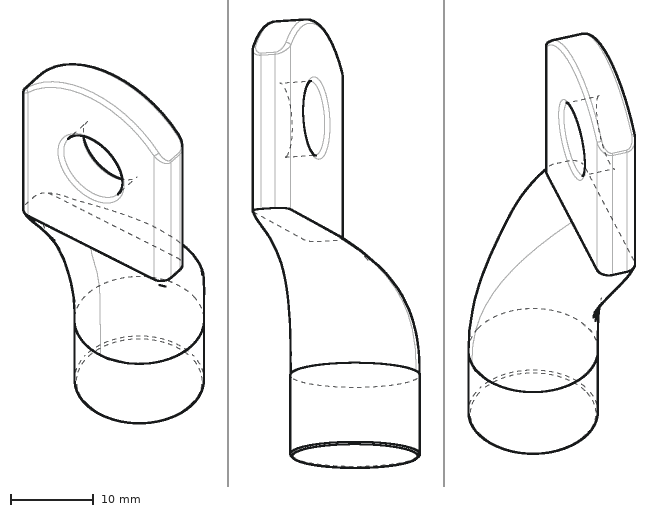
import math
import cadquery as cq


barrel_radius = 15.7 / 2
barrel_height = 10.0
barrel_chamfer = 0.25

palm_width = 22.0
palm_thickness = 4.8
palm_bottom = 29.0
palm_top = 54.0
palm_top_radius = 13.2
palm_side_fillet = 1.5
palm_top_fillet = 0.5
palm_offset = 1.9

palm_half_width = palm_width / 2
palm_front = -barrel_radius - palm_offset
palm_back = palm_front + palm_thickness
palm_middle = (palm_front + palm_back) / 2

hole_diameter = 9.0
hole_fillet = 0.5
hole_height = 42.0

neck_sections = 9
neck_inset = 0.01
back_end_slope = 2.65
width_exponent = 1.15
front_exponent = 3.0
squareness_exponent = 4.0
points_per_flat = 6
points_per_corner = 6
points_per_edge = 3


def mix(start, end, share):
    return start + (end - start) * share


def ease(t):
    """Rise from 0 to 1, level at both ends."""
    return t * t * (3 - 2 * t)


def ease_to_slope(t, end_slope):
    """Rise from 0 to 1, level at the start and with the given slope at the end."""
    return ease(t) + end_slope * t * t * (t - 1)


def palm_outline():
    """Right half of the palm section about its centre, from mid back to mid front."""
    corner_x = palm_half_width - palm_side_fillet
    corner_y = palm_thickness / 2 - palm_side_fillet
    points = [(corner_x * i / points_per_flat, palm_thickness / 2) for i in range(points_per_flat)]
    for i in range(points_per_corner):
        angle = math.pi / 2 * (1 - i / points_per_corner)
        x = corner_x + palm_side_fillet * math.cos(angle)
        points.append((x, corner_y + palm_side_fillet * math.sin(angle)))
    for i in range(points_per_edge + 1):
        points.append((palm_half_width, mix(corner_y, -corner_y, i / points_per_edge)))
    back_half_count = points_per_flat + points_per_corner
    points += [(x, -y) for x, y in reversed(points[:back_half_count])]
    return points


def outline_shares(points):
    """Share of the outline's length reached at each point."""
    lengths = [0.0]
    for start, end in zip(points, points[1:]):
        lengths.append(lengths[-1] + math.dist(start, end))
    return [length / lengths[-1] for length in lengths]


def neck_section(t, outline, shares):
    """Closed section of the neck, round at t = 0 and the palm's shape at t = 1."""
    z = mix(barrel_height, palm_bottom, t)
    half_width = mix(barrel_radius, palm_half_width, ease(t**width_exponent)) - neck_inset
    front = mix(-barrel_radius, palm_front, ease(t**front_exponent)) + neck_inset
    back = mix(barrel_radius, palm_back, ease_to_slope(t, back_end_slope)) - neck_inset
    middle = (front + back) / 2
    half_depth = (back - front) / 2

    squareness = t**squareness_exponent

    right = []
    for (palm_x, palm_y), share in zip(outline, shares):
        x = mix(math.sin(math.pi * share), palm_x / palm_half_width, squareness)
        y = mix(math.cos(math.pi * share), palm_y / (palm_thickness / 2), squareness)
        right.append(cq.Vector(half_width * x, middle + half_depth * y, z))
    left = [cq.Vector(-point.x, point.y, z) for point in reversed(right)]

    mirrored_shares = [1 - share for share in reversed(shares)]
    tangents = [cq.Vector(1, 0, 0), cq.Vector(-1, 0, 0)]
    right_edge = cq.Edge.makeSpline(right, tangents=tangents, parameters=shares)
    left_edge = cq.Edge.makeSpline(left, tangents=tangents[::-1], parameters=mirrored_shares)
    return cq.Wire.assembleEdges([right_edge, left_edge])


def make_neck():
    """Smooth loft through the sections that turn the round barrel into the palm."""
    outline = palm_outline()
    shares = outline_shares(outline)
    steps = [i / (neck_sections - 1) for i in range(neck_sections)]
    wires = [neck_section(t, outline, shares) for t in steps]
    return cq.Workplane(cq.Solid.makeLoft(wires))


def make_barrel():
    """Upright cylinder with its lower rim chamfered."""
    barrel = cq.Workplane("XY").circle(barrel_radius).extrude(barrel_height)
    return barrel.faces("<Z").edges().chamfer(barrel_chamfer)


def make_palm():
    """Flat plate with an arched top, rounded sides and a rounded rim along the arch."""
    arc_center = palm_top - palm_top_radius
    shoulder = arc_center + math.sqrt(palm_top_radius**2 - palm_half_width**2)
    palm = (
        cq.Workplane("XZ", origin=(0, palm_back, 0))
        .moveTo(-palm_half_width, palm_bottom)
        .lineTo(palm_half_width, palm_bottom)
        .lineTo(palm_half_width, shoulder)
        .threePointArc((0, palm_top), (-palm_half_width, shoulder))
        .close()
        .extrude(palm_thickness)
    )
    palm = palm.edges("|Z").fillet(palm_side_fillet)
    arc_face = palm.faces(cq.selectors.NearestToPointSelector((0, palm_middle, palm_top)))
    return arc_face.edges().fillet(palm_top_fillet)


def drill_hole(palm):
    """Bore the stud hole and round both of its mouths."""
    hole = (
        cq.Workplane("XZ", origin=(0, palm_back, hole_height))
        .circle(hole_diameter / 2)
        .extrude(palm_thickness)
    )
    reach = hole_diameter / 2 + hole_fillet
    around_hole = cq.selectors.BoxSelector(
        (-reach, palm_middle - palm_thickness, hole_height - reach),
        (reach, palm_middle + palm_thickness, hole_height + reach),
        boundingbox=True,
    )
    return palm.cut(hole).edges(around_hole).edges("%CIRCLE").fillet(hole_fillet)


result = make_barrel().union(make_neck()).union(drill_hole(make_palm()))